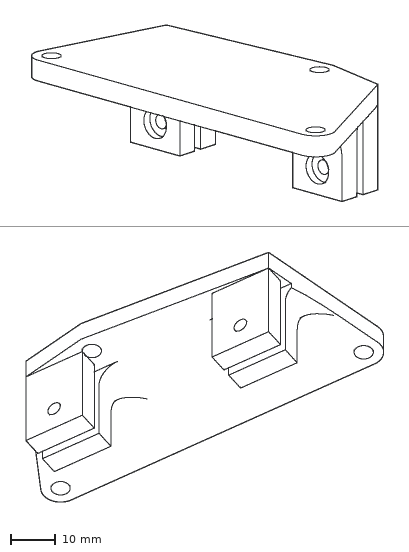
import cadquery as cq
import math

length = 90.4
plate_thickness = 5.0
corner_radius = 4.5
apex_x = 55.9
apex_y = 42.6
shoulder_y = 39.0
left_shoulder_x = 7.9
right_shoulder_x = 73.0
plate_hole_diameter = 4.3

leg_height = 20.1
leg_width = 15.2
leg_thickness = 5.0
leg_gap = 2.0
leg_centers_x = (
    left_shoulder_x + leg_width / 2,
    right_shoulder_x - leg_width / 2,
)
front_flare_radius = 10.0
side_flare_radius = 5.0

screw_diameter = 3.3
counterbore_diameter = 7.0
counterbore_depth = 2.0
screw_z = -14.0

rear_leg_front_y = shoulder_y - leg_thickness
front_leg_back_y = rear_leg_front_y - leg_gap
front_leg_front_y = front_leg_back_y - leg_thickness

left_hole = (corner_radius, corner_radius)
right_hole = (length - corner_radius, corner_radius)
apex_hole = (apex_x, apex_y - corner_radius)


def tangent_point(center, corner, side):
    """Point where a line from corner touches the round at center (side +1 or -1)."""
    dx = corner[0] - center[0]
    dy = corner[1] - center[1]
    spread = math.acos(corner_radius / math.hypot(dx, dy))
    return on_round(center, math.atan2(dy, dx) + side * spread)


def on_round(center, angle):
    return (
        center[0] + corner_radius * math.cos(angle),
        center[1] + corner_radius * math.sin(angle),
    )


def plate_prism(bottom_z, height):
    """Prism with the plate outline, without holes."""
    left_shoulder = (left_shoulder_x, shoulder_y)
    right_shoulder = (right_shoulder_x, shoulder_y)
    return (
        cq.Workplane("XY", origin=(0, 0, bottom_z))
        .moveTo(left_hole[0], 0)
        .lineTo(right_hole[0], 0)
        .threePointArc(
            on_round(right_hole, -math.pi / 4),
            tangent_point(right_hole, right_shoulder, -1),
        )
        .lineTo(*right_shoulder)
        .lineTo(apex_x, apex_y)
        .lineTo(*left_shoulder)
        .lineTo(*tangent_point(left_hole, left_shoulder, 1))
        .threePointArc(on_round(left_hole, -3 * math.pi / 4), (left_hole[0], 0))
        .close()
        .extrude(height)
    )


def rear_leg(center_x):
    return cq.Workplane("XY").box(
        leg_width, leg_thickness, leg_height, centered=(True, False, False)
    ).translate((center_x, rear_leg_front_y, -leg_height))


def front_leg(center_x):
    """Leg common to two flared profiles, one across its width and one across its thickness."""
    half_width = leg_width / 2
    flare_half_width = half_width + side_flare_radius
    flare_front_y = front_leg_front_y - front_flare_radius
    diagonal = 1 - math.sqrt(0.5)
    side_mid = side_flare_radius * diagonal
    front_mid = front_flare_radius * diagonal

    across_width = (
        cq.Workplane("XZ", origin=(center_x, front_leg_back_y, 0))
        .moveTo(-half_width, -leg_height)
        .lineTo(half_width, -leg_height)
        .lineTo(half_width, -side_flare_radius)
        .threePointArc((half_width + side_mid, -side_mid), (flare_half_width, 0))
        .lineTo(-flare_half_width, 0)
        .threePointArc((-half_width - side_mid, -side_mid), (-half_width, -side_flare_radius))
        .close()
        .extrude(front_leg_back_y - flare_front_y)
    )
    across_thickness = (
        cq.Workplane("YZ", origin=(center_x - flare_half_width, 0, 0))
        .moveTo(front_leg_back_y, -leg_height)
        .lineTo(front_leg_back_y, 0)
        .lineTo(flare_front_y, 0)
        .threePointArc(
            (front_leg_front_y - front_mid, -front_mid),
            (front_leg_front_y, -front_flare_radius),
        )
        .lineTo(front_leg_front_y, -leg_height)
        .close()
        .extrude(2 * flare_half_width)
    )
    return across_width.intersect(across_thickness)


def cylinder_along_y(center_x, start_y, diameter, depth):
    return (
        cq.Workplane("XZ", origin=(center_x, start_y, screw_z))
        .circle(diameter / 2)
        .extrude(-depth)
    )


result = plate_prism(0, plate_thickness)
flare_limit = plate_prism(-leg_height, leg_height)
for leg_x in leg_centers_x:
    result = result.union(rear_leg(leg_x))
    result = result.union(front_leg(leg_x).intersect(flare_limit))

screw_length = shoulder_y - front_leg_front_y
for leg_x in leg_centers_x:
    result = result.cut(cylinder_along_y(leg_x, front_leg_front_y, screw_diameter, screw_length))
    result = result.cut(
        cylinder_along_y(leg_x, front_leg_front_y, counterbore_diameter, counterbore_depth)
    )

mounting_holes = (
    cq.Workplane("XY")
    .pushPoints([left_hole, right_hole, apex_hole])
    .circle(plate_hole_diameter / 2)
    .extrude(plate_thickness)
)
result = result.cut(mounting_holes)